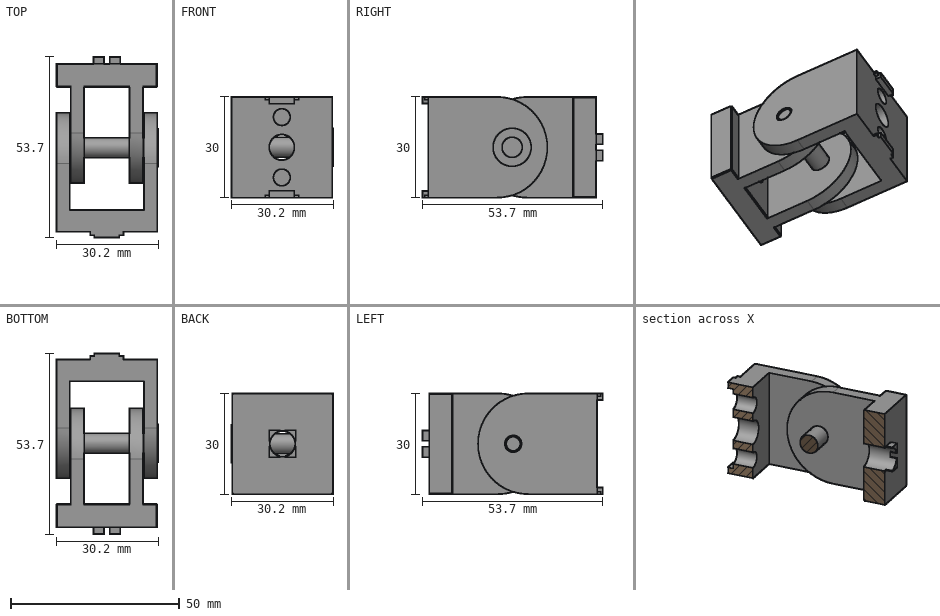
import cadquery as cq

overall_length = 53.7
size = 30.0
half = size / 2
face_distance = 24.95
arm_thickness = 4.05
arm_reach = 10.45
bore_diameter = 7.5

yoke_web = 6.55
screw_hole_diameter = 5.0
screw_hole_offset = 8.95
tab_width = 7.5
tab_height = 2.05
tab_depth = 1.7
ear_span = 10.0
ear_height = 0.8
ear_depth = 1.0

fork_span = 21.55
plate_thickness = 7.0
plate_chamfer = 0.3
boss_length = overall_length - 2 * face_distance - tab_depth
boss_span = 8.0
boss_slot = 1.65

pin_diameter = 6.0
tip_diameter = 4.95
tip_hole_diameter = 5.0
tip_chamfer = 0.4
tip_recess = 0.2
head_diameter = 11.35
head_thickness = 0.2


def box(x_range, y_range, z_range):
    """Axis-aligned box between the given limits."""
    lows, highs = zip(x_range, y_range, z_range)
    lengths = [high - low for low, high in zip(lows, highs)]
    return cq.Workplane("XY").box(*lengths, centered=False).translate(lows)


def x_cylinder(diameter, x_start, x_end):
    """Cylinder on the hinge axis."""
    return cq.Workplane("YZ", origin=(x_start, 0, 0)).circle(diameter / 2).extrude(x_end - x_start)


def y_cylinder(diameter, y_start, y_end, z=0):
    """Cylinder parallel to Y, centred on X = 0."""
    workplane = cq.Workplane("XZ", origin=(0, y_start, z))
    return workplane.circle(diameter / 2).extrude(y_start - y_end)


def arm(x_start, root_y, tip_y):
    """Flat arm from its root to a full-height semicircular tip."""
    direction = 1 if tip_y > root_y else -1
    round_start_y = tip_y - direction * half
    return (
        cq.Workplane("YZ", origin=(x_start, 0, 0))
        .moveTo(root_y, -half)
        .lineTo(round_start_y, -half)
        .threePointArc((tip_y, 0), (round_start_y, half))
        .lineTo(root_y, half)
        .close()
        .extrude(arm_thickness)
    )


def make_locating_tab(side):
    """Stepped tab on the yoke face, flush with the top (side 1) or bottom (side -1)."""
    face_y = -face_distance
    edge = side * half
    tab_z = sorted((edge, edge - side * tab_height))
    ear_z = sorted((edge, edge - side * ear_height))
    tab = box((-tab_width / 2, tab_width / 2), (face_y - tab_depth, face_y), tab_z)
    ears = box((-ear_span / 2, ear_span / 2), (face_y - ear_depth, face_y), ear_z)
    return tab.union(ears)


def make_yoke():
    face_y = -face_distance
    web_y = face_y + yoke_web
    inner_x = half - arm_thickness
    yoke = box((-half, half), (face_y, web_y), (-half, half))
    for x_start in (-half, inner_x):
        yoke = yoke.union(arm(x_start, face_y, arm_reach))
    for side in (-1, 1):
        yoke = yoke.union(make_locating_tab(side))
        yoke = yoke.cut(y_cylinder(screw_hole_diameter, face_y, web_y, side * screw_hole_offset))
    yoke = yoke.cut(y_cylinder(bore_diameter, face_y, web_y))
    yoke = yoke.cut(x_cylinder(tip_hole_diameter, -half, -inner_x))
    return yoke.cut(x_cylinder(pin_diameter, inner_x, half))


def make_split_boss():
    """Square boss divided into four corner pieces by crossed slots."""
    y_range = (face_distance, face_distance + boss_length)
    outer = (-boss_span / 2, boss_span / 2)
    slot = (-boss_slot / 2, boss_slot / 2)
    return box(outer, y_range, outer).cut(box(slot, y_range, outer)).cut(box(outer, y_range, slot))


def make_fork():
    plate_y = face_distance - plate_thickness
    fork = (
        box((-half, half), (plate_y, face_distance), (-half, half))
        .edges("|Y or <Y")
        .chamfer(plate_chamfer)
    )
    for x_start in (-fork_span / 2, fork_span / 2 - arm_thickness):
        fork = fork.union(arm(x_start, face_distance - plate_thickness / 2, -arm_reach))
    fork = fork.union(make_split_boss())
    fork = fork.cut(y_cylinder(bore_diameter, plate_y, face_distance + boss_length))
    return fork.cut(x_cylinder(pin_diameter, -fork_span / 2, fork_span / 2))


def make_pin():
    shoulder_x = arm_thickness - half
    tip = x_cylinder(tip_diameter, tip_recess - half, shoulder_x).faces("<X").chamfer(tip_chamfer)
    shank = x_cylinder(pin_diameter, shoulder_x, half)
    head = x_cylinder(head_diameter, half, half + head_thickness)
    return tip.union(shank).union(head)


yoke = make_yoke()
fork = make_fork()
pin = make_pin()
result = cq.Compound.makeCompound([yoke.val(), fork.val(), pin.val()])